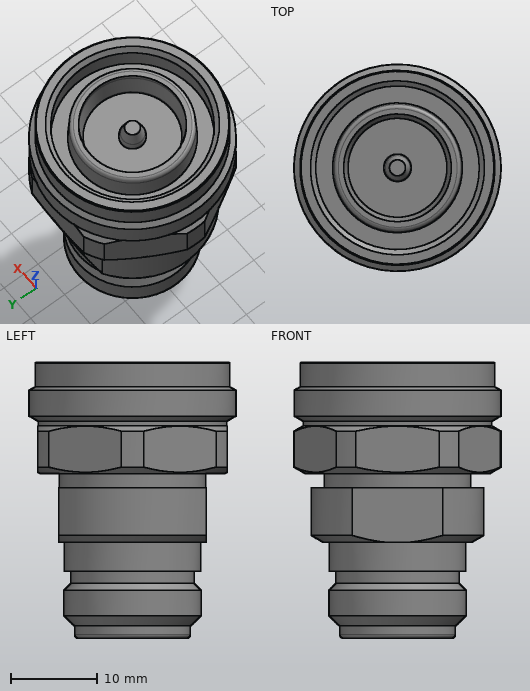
import cadquery as cq
import math

TOTAL_HEIGHT = 32.0
CHAMFER_SLOPE = math.tan(math.radians(30))

NOSE_RADIUS = 6.72
NOSE_FILLET = 0.48
NOSE_TOP = 1.47
NOSE_CONE_RADIUS = 6.8
THREAD_RADIUS = 7.97
THREAD_BOTTOM = 2.62
THREAD_TOP = 5.57
NECK_RADIUS = 7.17
NECK_TOP = 7.78
SHANK_RADIUS = 7.95
SHANK_TOP = 11.15

WRENCH_RADIUS = 10.0
WRENCH_BOTTOM_RADIUS = 8.65
WRENCH_TOP = 17.47
FLAT_OFFSET = 8.55

SLEEVE_RADIUS = 8.5
NUT_BOTTOM = 19.1
NUT_RADIUS = 12.0
NUT_BOTTOM_RADIUS = 10.72
HEX_ACROSS_FLATS = 21.95
NUT_SIDE_TOP = 24.0

GROOVE_RADIUS = 10.95
GROOVE_TOP = 25.15
COLLAR_TOP = 28.75
RIM_RADIUS = 11.3
RIM_CHAMFER = 0.13

FLOOR_Z = TOTAL_HEIGHT - 3.3
MOUTH_RADIUS = 10.08
CAVITY_RADIUS = 9.47
MOUTH_DEPTH = 0.5

CONTACT_FOOT_RADIUS = 7.52
CONTACT_HEAD_RADIUS = 7.35
CONTACT_FILLET = 0.48
CONTACT_BORE_RADIUS = 6.25
CONTACT_BORE_DEPTH = 0.55
CONTACT_SEAT_RADIUS = 5.73
CONTACT_SEAT_HEIGHT = 0.32

PIN_BALL_RADIUS = 1.6
PIN_BALL_Z = 28.95
PIN_SHOULDER_Z = 29.65
PIN_TIP_RADIUS = 0.93
PIN_TIP_Z = 31.07


def revolve(profile):
    """Turn a closed (radius, height) profile about the Z axis."""
    return profile.close().revolve(360, (0, 0, 0), (0, 1, 0))


def make_lower_body():
    """Nose, thread band, neck and shank, wrench section and sleeve."""
    wrench_chamfer = (WRENCH_RADIUS - WRENCH_BOTTOM_RADIUS) * CHAMFER_SLOPE
    arc_inset = NOSE_FILLET * (1 - math.sqrt(0.5))
    body = revolve(
        cq.Workplane("XZ")
        .lineTo(NOSE_RADIUS - NOSE_FILLET, 0)
        .threePointArc((NOSE_RADIUS - arc_inset, arc_inset), (NOSE_RADIUS, NOSE_FILLET))
        .lineTo(NOSE_RADIUS, NOSE_TOP)
        .lineTo(NOSE_CONE_RADIUS, NOSE_TOP)
        .lineTo(THREAD_RADIUS, THREAD_BOTTOM)
        .lineTo(THREAD_RADIUS, THREAD_TOP)
        .lineTo(NECK_RADIUS, THREAD_TOP + THREAD_RADIUS - NECK_RADIUS)
        .lineTo(NECK_RADIUS, NECK_TOP)
        .lineTo(SHANK_RADIUS, NECK_TOP)
        .lineTo(SHANK_RADIUS, SHANK_TOP)
        .lineTo(WRENCH_BOTTOM_RADIUS, SHANK_TOP)
        .lineTo(WRENCH_RADIUS, SHANK_TOP + wrench_chamfer)
        .lineTo(WRENCH_RADIUS, WRENCH_TOP)
        .lineTo(SLEEVE_RADIUS, WRENCH_TOP)
        .lineTo(SLEEVE_RADIUS, NUT_BOTTOM)
        .lineTo(0, NUT_BOTTOM)
    )
    between_flats = cq.Workplane("XY").rect(2 * WRENCH_RADIUS, 2 * FLAT_OFFSET).extrude(NUT_BOTTOM)
    return body.intersect(between_flats)


def make_hex_nut():
    """Solid nut with two flats square to Y and its corners rounded and chamfered."""
    bottom_chamfer = (NUT_RADIUS - NUT_BOTTOM_RADIUS) * CHAMFER_SLOPE
    nut_top = NUT_SIDE_TOP + (NUT_RADIUS - GROOVE_RADIUS) * CHAMFER_SLOPE
    blank = revolve(
        cq.Workplane("XZ")
        .moveTo(0, NUT_BOTTOM)
        .lineTo(NUT_BOTTOM_RADIUS, NUT_BOTTOM)
        .lineTo(NUT_RADIUS, NUT_BOTTOM + bottom_chamfer)
        .lineTo(NUT_RADIUS, NUT_SIDE_TOP)
        .lineTo(GROOVE_RADIUS, nut_top)
        .lineTo(0, nut_top)
    )
    hex_corner_diameter = HEX_ACROSS_FLATS / math.cos(math.radians(30))
    hexagon = cq.Workplane("XY").polygon(6, hex_corner_diameter).extrude(TOTAL_HEIGHT)
    return blank.intersect(hexagon)


def make_collar():
    """Groove, collar and rim, solid up to the top face."""
    return revolve(
        cq.Workplane("XZ")
        .moveTo(0, NUT_SIDE_TOP)
        .lineTo(GROOVE_RADIUS, NUT_SIDE_TOP)
        .lineTo(GROOVE_RADIUS, GROOVE_TOP)
        .lineTo(NUT_RADIUS, GROOVE_TOP + (NUT_RADIUS - GROOVE_RADIUS) * CHAMFER_SLOPE)
        .lineTo(NUT_RADIUS, COLLAR_TOP)
        .lineTo(RIM_RADIUS, COLLAR_TOP + (NUT_RADIUS - RIM_RADIUS) * CHAMFER_SLOPE)
        .lineTo(RIM_RADIUS, TOTAL_HEIGHT - RIM_CHAMFER)
        .lineTo(RIM_RADIUS - RIM_CHAMFER, TOTAL_HEIGHT)
        .lineTo(0, TOTAL_HEIGHT)
    )


def make_cavity():
    """Round socket space with a conical mouth."""
    return revolve(
        cq.Workplane("XZ")
        .moveTo(0, FLOOR_Z)
        .lineTo(CAVITY_RADIUS, FLOOR_Z)
        .lineTo(CAVITY_RADIUS, TOTAL_HEIGHT - MOUTH_DEPTH)
        .lineTo(MOUTH_RADIUS, TOTAL_HEIGHT)
        .lineTo(0, TOTAL_HEIGHT)
    )


def make_contact_ring():
    """Ring with a slightly flared outside, rounded top edge and tapered bore."""
    arc_inset = CONTACT_FILLET * (1 - math.sqrt(0.5))
    return revolve(
        cq.Workplane("XZ")
        .moveTo(CONTACT_SEAT_RADIUS, FLOOR_Z)
        .lineTo(CONTACT_FOOT_RADIUS, FLOOR_Z)
        .lineTo(CONTACT_HEAD_RADIUS, TOTAL_HEIGHT - CONTACT_FILLET)
        .threePointArc(
            (CONTACT_HEAD_RADIUS - arc_inset, TOTAL_HEIGHT - arc_inset),
            (CONTACT_HEAD_RADIUS - CONTACT_FILLET, TOTAL_HEIGHT),
        )
        .lineTo(CONTACT_BORE_RADIUS, TOTAL_HEIGHT)
        .lineTo(CONTACT_BORE_RADIUS, TOTAL_HEIGHT - CONTACT_BORE_DEPTH)
        .lineTo(CONTACT_SEAT_RADIUS, FLOOR_Z + CONTACT_SEAT_HEIGHT)
    )


def ball_radius_at(height):
    """Radius of the pin's ball at the given height."""
    return math.sqrt(PIN_BALL_RADIUS**2 - (height - PIN_BALL_Z) ** 2)


def make_pin():
    """Ball rising out of the cavity floor, then a cone to a flat tip."""
    return revolve(
        cq.Workplane("XZ")
        .moveTo(0, FLOOR_Z)
        .lineTo(ball_radius_at(FLOOR_Z), FLOOR_Z)
        .threePointArc((PIN_BALL_RADIUS, PIN_BALL_Z), (ball_radius_at(PIN_SHOULDER_Z), PIN_SHOULDER_Z))
        .lineTo(PIN_TIP_RADIUS, PIN_TIP_Z)
        .lineTo(0, PIN_TIP_Z)
    )


housing = make_lower_body().union(make_hex_nut()).union(make_collar()).cut(make_cavity())
result = housing.union(make_contact_ring()).union(make_pin())